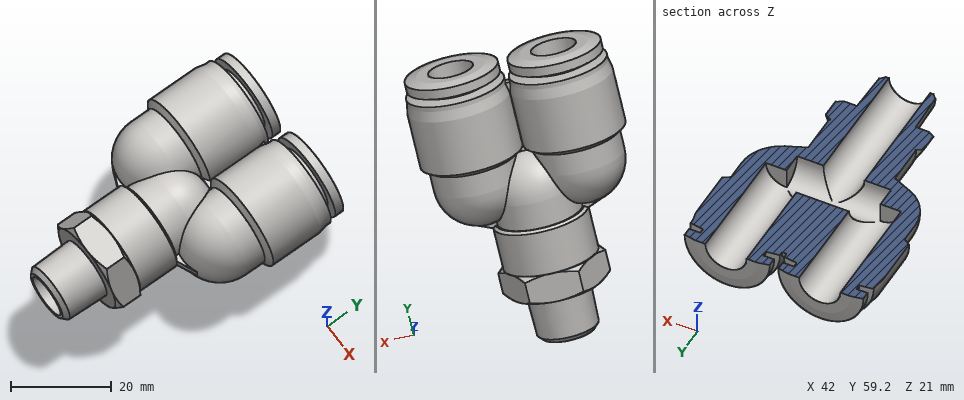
import cadquery as cq
import math


overall_length = 59.15
thread_chamfer_end = 1.05
hex_bottom = 10.0
hex_top = 16.0
collar_chamfer_start = 25.0
collar_top = 25.5
dome_center = 30.85
leg_ball_center = 35.1
shoulder_bottom = 39.6
shoulder_top = 40.6
sleeve_taper_start = 52.1
sleeve_taper_end = 54.2
sleeve_rim = 55.2
sleeve_top = 55.6
release_ring_bottom = 56.65
release_ring_rim = 58.65

thread_tip_radius = 5.35
thread_small_radius = 6.35
thread_taper = 1 / 16
thread_length = hex_bottom - thread_chamfer_end
thread_large_radius = thread_small_radius + thread_length * thread_taper / 2
collar_radius = 9.75
collar_top_radius = 9.05
stem_radius = 8.75

hex_across_flats = 19.0
hex_across_corners = hex_across_flats / math.cos(math.radians(30))
hex_chamfer_angle = 30.0

sleeve_radius = 10.5
leg_offset = sleeve_radius
leg_radius = 9.0
sleeve_mouth_radius = 10.05
neck_radius = 7.05
release_ring_radius = 9.55
release_ring_top_radius = 7.0

rib_thickness = 2.0
web_width = 3.2
gusset_outer_x = 14.1

bore_radius = 4.6
cross_bore_height = (dome_center + leg_ball_center) / 2


def revolve_about_y(profile):
    """Revolve a closed profile, drawn as (radius, height), about the Y axis."""
    return profile.close().revolve(360, (0, 0, 0), (0, 1, 0))


def cylinder_along_y(radius, start, end):
    return cq.Workplane("XZ", origin=(0, start, 0)).circle(radius).extrude(start - end)


def make_stem():
    """Tapered thread, collar and round-topped body, with a core that runs through the hexagon."""
    profile = (
        cq.Workplane("XY")
        .lineTo(thread_tip_radius, 0)
        .lineTo(thread_small_radius, thread_chamfer_end)
        .lineTo(thread_large_radius, hex_bottom)
        .lineTo(thread_large_radius, hex_top)
        .lineTo(collar_radius, hex_top)
        .lineTo(collar_radius, collar_chamfer_start)
        .lineTo(collar_top_radius, collar_top)
        .lineTo(stem_radius, collar_top)
        .lineTo(stem_radius, dome_center)
        .threePointArc(
            (stem_radius * math.sin(math.pi / 4), dome_center + stem_radius * math.cos(math.pi / 4)),
            (0, dome_center + stem_radius),
        )
    )
    return revolve_about_y(profile)


def make_hexagon():
    """Hexagon with corners on the X axis, both ends chamfered down to the inscribed circle."""
    prism = (
        cq.Workplane("XZ", origin=(0, hex_bottom, 0))
        .polygon(6, hex_across_corners)
        .extrude(hex_bottom - hex_top)
    )
    flat_radius = hex_across_flats / 2
    corner_radius = hex_across_corners / 2
    chamfer_height = (corner_radius - flat_radius) * math.tan(math.radians(hex_chamfer_angle))
    envelope = revolve_about_y(
        cq.Workplane("XY")
        .moveTo(0, hex_bottom)
        .lineTo(flat_radius, hex_bottom)
        .lineTo(corner_radius, hex_bottom + chamfer_height)
        .lineTo(corner_radius, hex_top - chamfer_height)
        .lineTo(flat_radius, hex_top)
        .lineTo(0, hex_top)
    )
    return prism.intersect(envelope)


def make_leg():
    """One leg on the Y axis: ball end, sleeve, neck and release ring."""
    profile = (
        cq.Workplane("XY")
        .moveTo(0, leg_ball_center - leg_radius)
        .threePointArc(
            (leg_radius * math.sin(math.pi / 4), leg_ball_center - leg_radius * math.cos(math.pi / 4)),
            (leg_radius, leg_ball_center),
        )
        .lineTo(leg_radius, shoulder_bottom)
        .lineTo(sleeve_radius, shoulder_top)
        .lineTo(sleeve_radius, sleeve_taper_start)
        .lineTo(sleeve_mouth_radius, sleeve_taper_end)
        .lineTo(sleeve_mouth_radius, sleeve_rim)
        .lineTo(neck_radius, sleeve_top)
        .lineTo(neck_radius, release_ring_bottom)
        .lineTo(release_ring_radius, release_ring_bottom)
        .lineTo(release_ring_radius, release_ring_rim)
        .lineTo(release_ring_top_radius, overall_length)
        .lineTo(0, overall_length)
    )
    return revolve_about_y(profile)


def make_web():
    """Thin web that joins the two sleeves along their line of contact."""
    web_length = sleeve_taper_end - dome_center
    return cq.Workplane("XY").box(web_width, web_length, rib_thickness).translate(
        (0, dome_center + web_length / 2, 0)
    )


def make_gussets():
    """Flat ribs that fill the corners between the collar and the ball ends."""
    ball_drop = math.sqrt(leg_radius**2 - (gusset_outer_x - leg_offset) ** 2)
    gusset_outer_y = leg_ball_center - ball_drop
    return (
        cq.Workplane("XY")
        .moveTo(-collar_radius, collar_chamfer_start)
        .lineTo(collar_radius, collar_chamfer_start)
        .lineTo(gusset_outer_x, gusset_outer_y)
        .lineTo(leg_offset, leg_ball_center)
        .lineTo(-leg_offset, leg_ball_center)
        .lineTo(-gusset_outer_x, gusset_outer_y)
        .close()
        .extrude(rib_thickness / 2, both=True)
    )


def make_passage():
    """Stem bore, cross bore and the two leg bores that open at the leg ends."""
    passage = cylinder_along_y(bore_radius, 0, cross_bore_height)
    cross_bore = (
        cq.Workplane("YZ", origin=(-leg_offset, cross_bore_height, 0))
        .circle(bore_radius)
        .extrude(2 * leg_offset)
    )
    passage = passage.union(cross_bore)
    leg_bore = cylinder_along_y(bore_radius, cross_bore_height, overall_length)
    for side in (-1, 1):
        passage = passage.union(leg_bore.translate((side * leg_offset, 0, 0)))
    return passage


body = make_stem().union(make_hexagon()).union(make_gussets()).union(make_web())
leg = make_leg()
for side in (-1, 1):
    body = body.union(leg.translate((side * leg_offset, 0, 0)))

result = body.cut(make_passage())